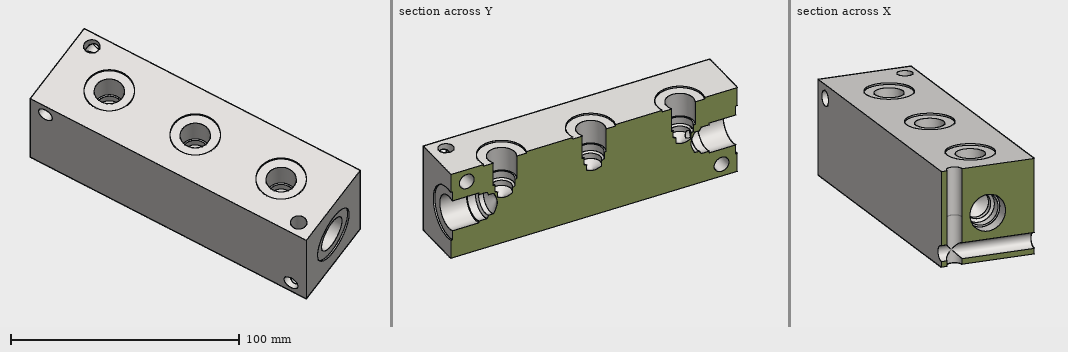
import math

import cadquery as cq

LENGTH = 142.88
SECTION = 44.45
HALF_LENGTH = LENGTH / 2
HALF_SECTION = SECTION / 2

POINT_ANGLE = 118.0

TOP_PORT_SPACING = 44.45
TOP_SPOTFACE_DIAMETER = 22.12
TOP_THREAD_DIAMETER = 13.26
TOP_TAP_DRILL_DIAMETER = 11.68
TOP_DRILL_DIAMETER = 9.53
TOP_SPOTFACE_DEPTH = 0.8
TOP_THREAD_DEPTH = 12.7
TOP_TAP_DRILL_DEPTH = 16.2
TOP_DRILL_DEPTH = 19.6

END_SPOTFACE_DIAMETER = 25.93
END_THREAD_DIAMETER = 16.76
END_TAP_DRILL_DIAMETER = 15.06
END_DRILL_DIAMETER = 12.29
END_SPOTFACE_DEPTH = 0.8
END_THREAD_DEPTH = 14.0
END_TAP_DRILL_DEPTH = 18.0
END_DRILL_DEPTH = 21.25

MOUNT_DIAMETER = 7.14
MOUNT_END_INSET = 7.94
MOUNT_EDGE_INSET = 6.35


def point_length(start_radius, end_radius=0.0):
    """Axial length of a drill point narrowing between two radii."""
    return (start_radius - end_radius) / math.tan(math.radians(POINT_ANGLE / 2))


def port_cutter(spotface, thread, tap_drill, drill):
    """Stepped bore along -Z from the origin; each step is (diameter, depth)."""
    spotface_radius = spotface[0] / 2
    thread_radius = thread[0] / 2
    tap_radius = tap_drill[0] / 2
    drill_radius = drill[0] / 2
    tap_point_depth = tap_drill[1] + point_length(tap_radius, drill_radius)
    tip_depth = drill[1] + point_length(drill_radius)
    half_profile = (
        cq.Workplane("XZ")
        .lineTo(spotface_radius, 0)
        .lineTo(spotface_radius, -spotface[1])
        .lineTo(thread_radius, -spotface[1])
        .lineTo(thread_radius, -thread[1])
        .lineTo(tap_radius, -thread[1])
        .lineTo(tap_radius, -tap_drill[1])
        .lineTo(drill_radius, -tap_point_depth)
        .lineTo(drill_radius, -drill[1])
        .lineTo(0, -tip_depth)
        .close()
    )
    return half_profile.revolve(360, (0, 0, 0), (0, 1, 0))


def cut_top_ports(body):
    port = port_cutter(
        (TOP_SPOTFACE_DIAMETER, TOP_SPOTFACE_DEPTH),
        (TOP_THREAD_DIAMETER, TOP_THREAD_DEPTH),
        (TOP_TAP_DRILL_DIAMETER, TOP_TAP_DRILL_DEPTH),
        (TOP_DRILL_DIAMETER, TOP_DRILL_DEPTH),
    )
    for position in (-1, 0, 1):
        body = body.cut(port.translate((position * TOP_PORT_SPACING, 0, HALF_SECTION)))
    return body


def cut_end_ports(body):
    port = port_cutter(
        (END_SPOTFACE_DIAMETER, END_SPOTFACE_DEPTH),
        (END_THREAD_DIAMETER, END_THREAD_DEPTH),
        (END_TAP_DRILL_DIAMETER, END_TAP_DRILL_DEPTH),
        (END_DRILL_DIAMETER, END_DRILL_DEPTH),
    )
    for side in (-1, 1):
        end_port = port.rotate((0, 0, 0), (0, 1, 0), side * 90)
        body = body.cut(end_port.translate((side * HALF_LENGTH, 0, 0)))
    return body


def cut_mounting_holes(body):
    """Through holes along Y and along Z near the upper-left and lower-right corners."""
    along = HALF_LENGTH - MOUNT_END_INSET
    across = HALF_SECTION - MOUNT_EDGE_INSET
    for plane in ("XZ", "XY"):
        holes = (
            cq.Workplane(plane)
            .pushPoints([(-along, across), (along, -across)])
            .circle(MOUNT_DIAMETER / 2)
            .extrude(HALF_SECTION, both=True)
        )
        body = body.cut(holes)
    return body


block = cq.Workplane("XY").box(LENGTH, SECTION, SECTION)
block = cut_top_ports(block)
block = cut_end_ports(block)
result = cut_mounting_holes(block)